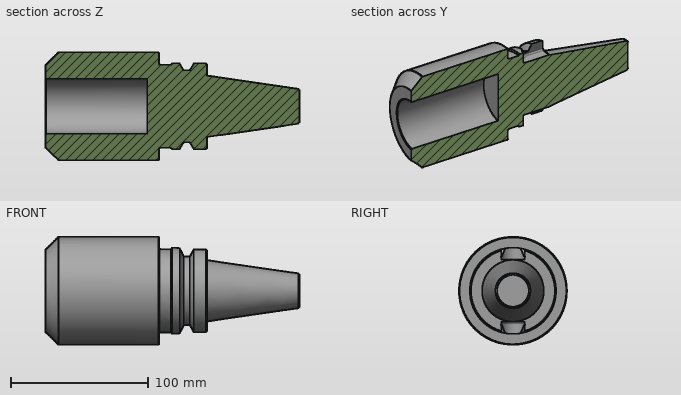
import cadquery as cq

total_length = 185.4

body_radius = 39.5
body_end = 82.9
nose_length = 9.3
nose_cone_diameter = 61.0
nose_cone_radius = nose_cone_diameter / 2
nose_face_chamfer = 0.4
nose_rim_width = 0.5
nose_rim_drop = 0.2
body_rear_chamfer = 0.5

bore_radius = 20.0
bore_depth = 74.2
bore_chamfer = 0.5

neck_diameter = 61.0
neck_radius = neck_diameter / 2
neck_fillet = 1.0

flange_radius = 31.5
flange_start = 91.5
flange_end = 118.0
flange_front_chamfer = 1.0
flange_rear_chamfer = 1.0
groove_radius = 26.5
groove_floor_start = 100.9
groove_floor_end = 105.3
groove_side_run = 3.0
groove_start = groove_floor_start - groove_side_run
groove_end = groove_floor_end + groove_side_run

taper_slope = 7 / 24 / 2
gauge_radius = 22.2
gauge_offset = 2.0
gauge_position = flange_end + gauge_offset
taper_large_radius = gauge_radius + gauge_offset * taper_slope
taper_small_radius = gauge_radius - (total_length - gauge_position) * taper_slope
taper_end_chamfer = 1.1

slot_half_width = 8.7
slot_tip = 96.0
slot_floor = 22.6
slot_floor_fillet = 1.1


def turned_body():
    """Revolve the outer profile, given as (x, radius), about the X axis."""
    outline = (
        cq.Workplane("XY")
        .lineTo(0, nose_cone_radius - nose_face_chamfer)
        .lineTo(nose_face_chamfer, nose_cone_radius)
        .lineTo(nose_length, body_radius - nose_rim_drop)
        .lineTo(nose_length + nose_rim_width, body_radius)
        .lineTo(body_end - body_rear_chamfer, body_radius)
        .lineTo(body_end, body_radius - body_rear_chamfer)
        .lineTo(body_end, neck_radius + neck_fillet)
        .radiusArc((body_end + neck_fillet, neck_radius), -neck_fillet)
        .lineTo(flange_start, neck_radius)
        .lineTo(flange_start + flange_front_chamfer, flange_radius)
        .lineTo(groove_start, flange_radius)
        .lineTo(groove_floor_start, groove_radius)
        .lineTo(groove_floor_end, groove_radius)
        .lineTo(groove_end, flange_radius)
        .lineTo(flange_end - flange_rear_chamfer, flange_radius)
        .lineTo(flange_end, flange_radius - flange_rear_chamfer)
        .lineTo(flange_end, taper_large_radius)
        .lineTo(total_length, taper_small_radius)
        .lineTo(total_length, 0)
        .close()
    )
    body = outline.revolve(360, (0, 0, 0), (1, 0, 0))
    return body.faces(">X").edges().chamfer(taper_end_chamfer)


def bore():
    """Cylinder that opens at the nose face through a chamfered mouth."""
    return (
        cq.Workplane("XY")
        .lineTo(0, bore_radius + bore_chamfer)
        .lineTo(bore_chamfer, bore_radius)
        .lineTo(bore_depth, bore_radius)
        .lineTo(bore_depth, 0)
        .close()
        .revolve(360, (0, 0, 0), (1, 0, 0))
    )


def drive_slot():
    """Round-ended cutter on the +Z side, with a fillet along its floor."""
    arc_center = slot_tip + slot_half_width
    return (
        cq.Workplane("XY", origin=(0, 0, slot_floor))
        .moveTo(flange_end, -slot_half_width)
        .lineTo(arc_center, -slot_half_width)
        .threePointArc((slot_tip, 0), (arc_center, slot_half_width))
        .lineTo(flange_end, slot_half_width)
        .close()
        .extrude(flange_radius - slot_floor)
        .faces("<Z")
        .edges("not >X")
        .fillet(slot_floor_fillet)
    )


result = turned_body().cut(bore())
for angle in (0, 180):
    result = result.cut(drive_slot().rotate((0, 0, 0), (1, 0, 0), angle))